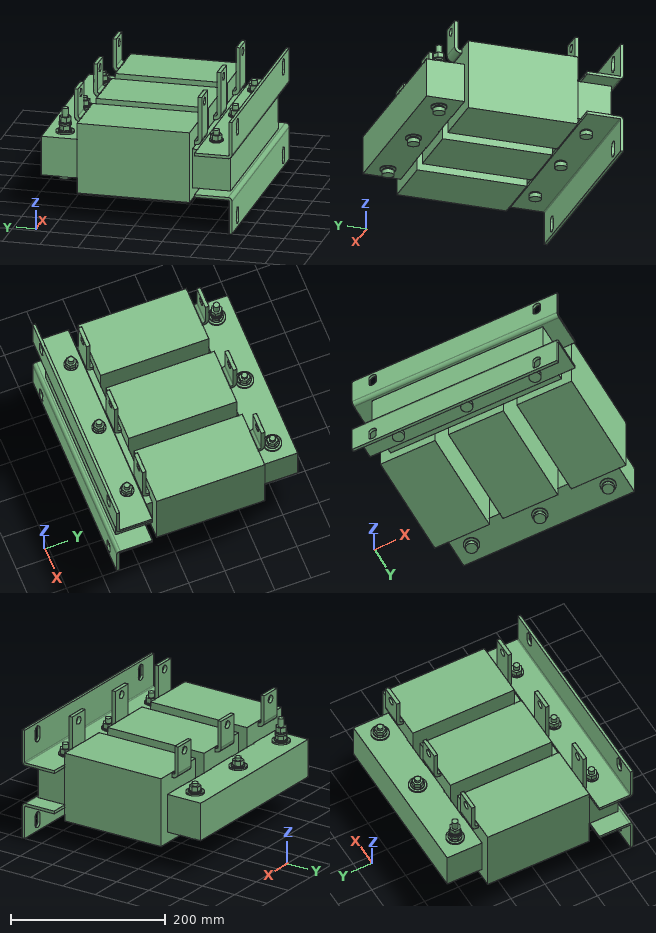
import cadquery as cq


phase_pitch = 100.0
phase_places = [-phase_pitch, 0, phase_pitch]
limb_width = 50.0
core_width = 2 * phase_pitch + limb_width
core_front = 8.0
core_back = 260.7
core_height = 53.0
yoke_depth = 51
window_width = phase_pitch - limb_width
window_length = core_back - core_front - 2 * yoke_depth

bracket_length = 300
bracket_leg = 49.8
bracket_thickness = 4.0
bracket_bend = 5.0
slot_width = 10.5
slot_length = 22.0
slot_spacing = 240
slot_edge_distance = 16.0

core_bottom = bracket_leg
core_top = core_bottom + core_height
bracket_top = core_top + bracket_thickness
bracket_bottom = core_bottom - bracket_thickness
core_middle = (core_front + core_back) / 2
assembly_mid_height = core_bottom + core_height / 2

coil_width = 80.0
coil_length = 150
coil_bottom = 34.5
coil_top = 130.2
coil_height = coil_top - coil_bottom
coil_front = core_front + yoke_depth
coil_back = coil_front + coil_length
coil_middle = (coil_front + coil_back) / 2

lug_width = 30
lug_thickness = 5.0
lug_bend = 8.0
lug_reach = 10.0
lug_embed = 3
lug_hole = 10.2
lug_hole_from_top = 10.0
front_lug_top = 170.7
front_lug_bottom = 105.5
rear_lug_top = 168.3
rear_lug_bottom = 123.3

bolt_diameter = 8.0
front_bolt_y = core_front + yoke_depth / 2
rear_bolt_y = core_back - yoke_depth / 2
hex_size = 15.0
nut_thickness = 7.0
thin_nut_thickness = 6.5
head_diameter = 16.0
head_thickness = 6.3
collar_diameter = 13.0
collar_thickness = 1.8
nut_washer_diameter = 18.0
nut_washer_thickness = 1.5
core_washer_diameter = 24.0
core_washer_thickness = 2.0
head_washer_diameter = 21.0
head_washer_thickness = 1.2
spring_washer_diameter = 16.2
spring_washer_thickness = 2.7
spacer_diameter = 14.7
spacer_thickness = 1.5
front_bolt_end = 6.5
short_bolt_end = 4.0
long_bolt_end = 11.7


def block(width, length, height, y_center, z_bottom, x_center=0):
    return (
        cq.Workplane("XY", origin=(x_center, y_center, z_bottom))
        .box(width, length, height, centered=(True, True, False))
    )


def make_core():
    core = block(core_width, core_back - core_front, core_height, core_middle, core_bottom)
    for x in (-phase_pitch / 2, phase_pitch / 2):
        core = core.cut(block(window_width, window_length, core_height, core_middle, core_bottom, x))
    return core


def make_lower_bracket():
    """Angle section: one leg under the core, the other hanging down at the front."""
    profile = (
        cq.Workplane("YZ", origin=(-bracket_length / 2, 0, 0))
        .lineTo(0, bracket_leg - bracket_bend)
        .radiusArc((bracket_bend, bracket_leg), bracket_bend)
        .lineTo(bracket_leg, bracket_leg)
        .lineTo(bracket_leg, bracket_leg - bracket_thickness)
        .lineTo(bracket_bend, bracket_leg - bracket_thickness)
        .radiusArc((bracket_thickness, bracket_leg - bracket_bend), -(bracket_bend - bracket_thickness))
        .lineTo(bracket_thickness, 0)
        .close()
    )
    slots = (
        cq.Workplane("XZ", origin=(0, 0, slot_edge_distance))
        .pushPoints([(-slot_spacing / 2, 0), (slot_spacing / 2, 0)])
        .slot2D(slot_length, slot_width, 90)
        .extrude(-bracket_thickness)
    )
    return profile.extrude(bracket_length).cut(slots)


def make_lug(x, coil_face, outward, bottom, top):
    """Upright lug whose foot bends into the coil; outward is -1 at the front, +1 at the rear."""
    outer = coil_face + outward * lug_reach
    inner = outer - outward * lug_thickness
    bend_end = outer - outward * lug_bend
    root = coil_face - outward * lug_embed
    inner_bend = lug_bend - lug_thickness
    lug = (
        cq.Workplane("YZ", origin=(x - lug_width / 2, 0, 0))
        .moveTo(outer, top)
        .lineTo(outer, bottom + lug_bend)
        .radiusArc((bend_end, bottom), outward * lug_bend)
        .lineTo(root, bottom)
        .lineTo(root, bottom + lug_thickness)
        .lineTo(bend_end, bottom + lug_thickness)
        .radiusArc((inner, bottom + lug_bend), -outward * inner_bend)
        .lineTo(inner, top)
        .close()
        .extrude(lug_width)
    )
    hole = (
        cq.Workplane("XZ", origin=(x, coil_face, top - lug_hole_from_top))
        .circle(lug_hole / 2)
        .extrude(-outward * lug_reach)
    )
    return lug.cut(hole)


def disc(diameter, thickness):
    return cq.Workplane("XY").circle(diameter / 2).extrude(thickness)


def hex_nut(thickness, turn):
    return cq.Workplane("XY").polygon(6, hex_size).extrude(thickness).rotate((0, 0, 0), (0, 0, 1), turn)


def stack(layers):
    """Pile (solid, thickness) layers upward from Z = 0."""
    pile = cq.Workplane("XY")
    height = 0
    for solid, thickness in layers:
        pile = pile.union(solid.translate((0, 0, height)))
        height += thickness
    return pile


def disc_layer(diameter, thickness):
    return disc(diameter, thickness), thickness


def nut_layer(thickness, turn=0):
    return hex_nut(thickness, turn), thickness


def make_bolt(x, y, nut_seat, nut_side, head_seat, head_side):
    """Nut-side layers rise from nut_seat; head-side layers hang below head_seat."""
    shank = disc(bolt_diameter, nut_seat - head_seat).translate((0, 0, head_seat))
    above = stack(nut_side).translate((0, 0, nut_seat))
    below = stack(head_side).mirror("XY").translate((0, 0, head_seat))
    return shank.union(above).union(below).translate((x, y, 0))


collar = disc_layer(collar_diameter, collar_thickness)
nut_washer = disc_layer(nut_washer_diameter, nut_washer_thickness)
head = disc_layer(head_diameter, head_thickness)
turned_nut = nut_layer(nut_thickness, 90)
front_nut_side = [collar, nut_washer, turned_nut, disc_layer(bolt_diameter, front_bolt_end)]
front_head_side = [collar, head]
rear_nut_base = [
    disc_layer(core_washer_diameter, core_washer_thickness),
    nut_washer,
    nut_layer(thin_nut_thickness),
]
short_nut_side = rear_nut_base + [disc_layer(bolt_diameter, short_bolt_end)]
long_nut_side = rear_nut_base + [
    disc_layer(spring_washer_diameter, spring_washer_thickness),
    disc_layer(spacer_diameter, spacer_thickness),
    turned_nut,
    disc_layer(bolt_diameter, long_bolt_end),
]
rear_head_side = [disc_layer(head_washer_diameter, head_washer_thickness), collar, head]

lower_bracket = make_lower_bracket()
upper_bracket = lower_bracket.mirror("XY", (0, 0, assembly_mid_height))
result = make_core().union(lower_bracket).union(upper_bracket)
for phase_x in phase_places:
    rear_nut_side = long_nut_side if phase_x == phase_places[0] else short_nut_side
    result = (
        result
        .union(block(coil_width, coil_length, coil_height, coil_middle, coil_bottom, phase_x))
        .union(make_lug(phase_x, coil_front, -1, front_lug_bottom, front_lug_top))
        .union(make_lug(phase_x, coil_back, 1, rear_lug_bottom, rear_lug_top))
        .union(make_bolt(phase_x, front_bolt_y, bracket_top, front_nut_side, bracket_bottom, front_head_side))
        .union(make_bolt(phase_x, rear_bolt_y, core_top, rear_nut_side, core_bottom, rear_head_side))
    )